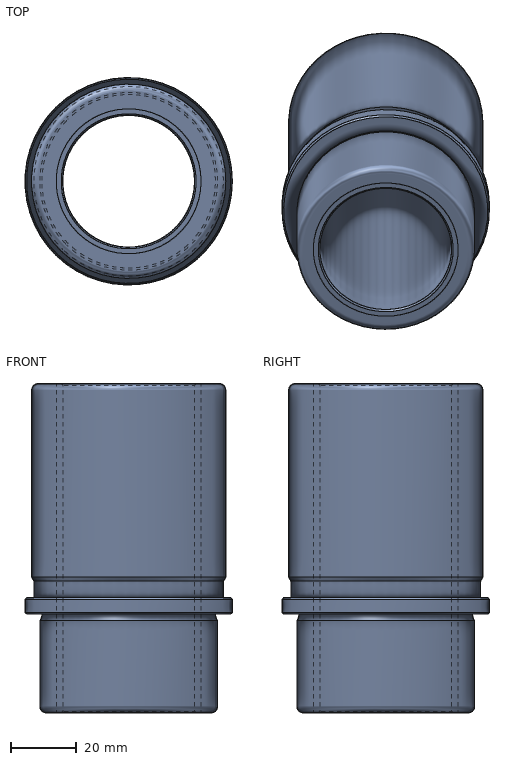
import cadquery as cq
import math

total_height = 100.0
collar_bottom = 30.0
collar_height = 5.0
neck_height = 5.0
relief_height = 2.0

bore_diameter = 40.0
liner_diameter = 44.0
spigot_diameter = 54.0
neck_diameter = 57.6
head_diameter = 59.0
collar_diameter = 63.0

end_round = 2.0
relief_round = 3.5
collar_chamfer = 0.5
head_chamfer_height = 1.2
bore_chamfer = 0.5

spigot_radius = spigot_diameter / 2
relief_depth = relief_round - math.sqrt(relief_round**2 - relief_height**2)
relief_radius = spigot_radius - relief_depth
neck_radius = neck_diameter / 2
head_radius = head_diameter / 2
collar_radius = collar_diameter / 2
liner_radius = liner_diameter / 2
bore_radius = bore_diameter / 2

relief_bottom = collar_bottom - relief_height
collar_top = collar_bottom + collar_height
head_bottom = collar_top + neck_height


def make_housing():
    """Turned sleeve: spigot, relief, collar, neck and head around the liner hole."""
    profile = (
        cq.Workplane("XZ")
        .moveTo(liner_radius, 0)
        .lineTo(spigot_radius - end_round, 0)
        .radiusArc((spigot_radius, end_round), -end_round)
        .lineTo(spigot_radius, relief_bottom)
        .radiusArc((relief_radius, collar_bottom), relief_round)
        .lineTo(collar_radius - collar_chamfer, collar_bottom)
        .lineTo(collar_radius, collar_bottom + collar_chamfer)
        .lineTo(collar_radius, collar_top - collar_chamfer)
        .lineTo(collar_radius - collar_chamfer, collar_top)
        .lineTo(neck_radius, collar_top)
        .lineTo(neck_radius, head_bottom)
        .lineTo(head_radius, head_bottom + head_chamfer_height)
        .lineTo(head_radius, total_height - end_round)
        .radiusArc((head_radius - end_round, total_height), -end_round)
        .lineTo(liner_radius, total_height)
        .close()
    )
    return profile.revolve(360, (0, 0), (0, 1))


def make_liner():
    """Plain bearing tube, flush with both ends of the housing."""
    bore_edges = cq.selectors.RadiusNthSelector(0)
    tube = cq.Workplane("XY").circle(liner_radius).circle(bore_radius).extrude(total_height)
    return tube.edges(bore_edges).chamfer(bore_chamfer)


housing = make_housing()
liner = make_liner()
result = cq.Compound.makeCompound([housing.val(), liner.val()])